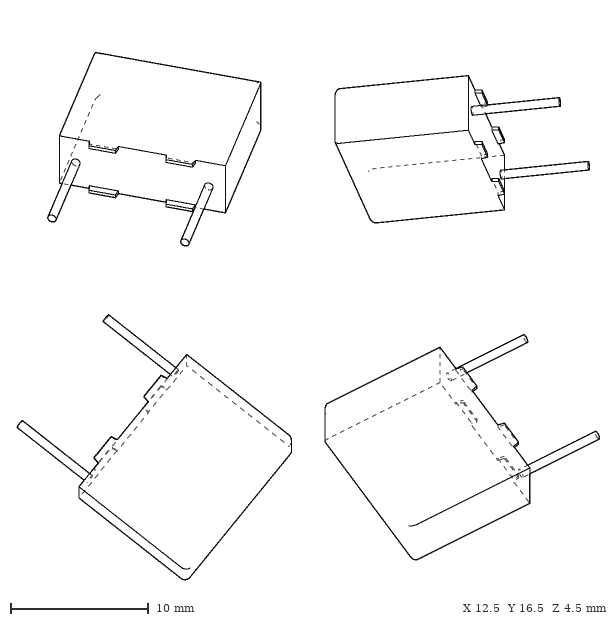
import cadquery as cq

housing_width = 12.5
housing_depth = 10.0
housing_height = 4.5
back_edge_radius = 0.5

foot_spacing = 5.79
foot_base_width = 2.2
foot_tip_width = 2.0
foot_length = 0.5
foot_thickness = 0.26

overall_length = 16.5
lead_spacing = 10.0
lead_diameter = 0.65
lead_length = overall_length - housing_depth


def make_foot(center_x, bottom_z):
    """One tapered tab that points toward -Y from the front face."""
    half_base = foot_base_width / 2
    half_tip = foot_tip_width / 2
    outline = [
        (center_x - half_base, 0),
        (center_x - half_tip, -foot_length),
        (center_x + half_tip, -foot_length),
        (center_x + half_base, 0),
    ]
    return cq.Workplane("XY").workplane(offset=bottom_z).polyline(outline).close().extrude(foot_thickness)


def make_housing():
    """The box with four rounded back edges and two feet along each long edge of the front face."""
    body = cq.Workplane("XY").box(
        housing_width, housing_depth, housing_height, centered=(True, False, True)
    )
    body = body.faces(">Y").edges().fillet(back_edge_radius)

    lower_foot_z = -housing_height / 2
    upper_foot_z = housing_height / 2 - foot_thickness
    for center_x in (-foot_spacing / 2, foot_spacing / 2):
        for bottom_z in (lower_foot_z, upper_foot_z):
            body = body.union(make_foot(center_x, bottom_z))
    return body


def make_lead(center_x):
    """One round wire from the front face toward -Y."""
    return cq.Workplane("XZ").center(center_x, 0).circle(lead_diameter / 2).extrude(lead_length)


housing = make_housing()
leads = [make_lead(center_x) for center_x in (-lead_spacing / 2, lead_spacing / 2)]

result = cq.Compound.makeCompound([housing.solids().val(), *[lead.val() for lead in leads]])